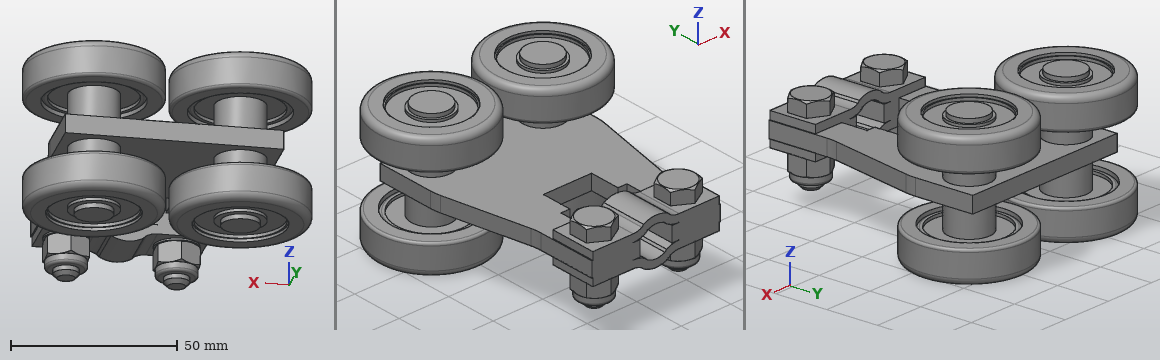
import cadquery as cq
import math


PLATE_THICKNESS = 6.0
PLATE_DEPTH = 86.7
FRONT_HALF_WIDTH = 25.9
REAR_HALF_WIDTH = 33.5
FRONT_BEND_Y = 24.95
REAR_BEND_Y = 62.1
BEND_RADIUS = 20.0
CLAMP_GAP_WIDTH = 12.9
WIDE_WINDOW_WIDTH = 26.6
WIDE_WINDOW_END_Y = 28.0
NARROW_WINDOW_WIDTH = 19.4
NARROW_WINDOW_END_Y = 39.9

TOTAL_DEPTH = 97.5
TOTAL_HEIGHT = 49.0
WHEEL_DIAMETER = 43.0
WHEEL_SPACING = 44.9
WHEEL_WIDTH = 12.0
OUTER_ROUND = 2.4
INNER_ROUND = 1.0
BORE_DIAMETER = 28.0
OUTER_RECESS_DIAMETER = 29.0
OUTER_RECESS_DEPTH = 1.0
BEARING_INSET = 2.0
INNER_RECESS_DIAMETER = 32.0
INNER_RECESS_DEPTH = 1.0
INSERT_ROUND = 1.0
INSERT_SEAT = 0.5
SLEEVE_DIAMETER = 16.0
WASHER_THICKNESS = 1.0
AXLE_HEAD_DIAMETER = 14.0
AXLE_TAIL_DIAMETER = 12.0
AXLE_PROTRUSION = 0.5

STRAP_THICKNESS = 3.0
STRAP_DEPTH = 17.9
STRAP_HALF_WIDTH = 25.5
ARCH_INNER_RADIUS = 7.0
FLARE_INNER_RADIUS = 7.0
ARCH_ANGLE = math.radians(30)
LINK_ANGLE = math.radians(45)

BOLT_SPACING = 33.9
ACROSS_FLATS = 13.0
BOLT_HEAD_HEIGHT = 5.3
BOLT_DIAMETER = 8.0
BOLT_TIP_Z = -19.0
BOLT_TIP_CHAMFER = 1.3
NUT_FLANGE_DIAMETER = 14.0
NUT_FLANGE_HEIGHT = 0.6
NUT_HEX_HEIGHT = 6.8
NUT_COLLAR_DIAMETER = 13.0
NUT_COLLAR_HEIGHT = 2.8
NUT_COLLAR_ROUND = 0.9
HEAD_FACE_DIAMETER = 12.5
NUT_FACE_DIAMETER = 12.9
HEX_BEVEL_SLOPE = math.tan(math.radians(30))

WHEEL_Y = TOTAL_DEPTH - WHEEL_DIAMETER / 2
AXLE_TOP_Z = TOTAL_HEIGHT / 2
WHEEL_OUTER_Z = AXLE_TOP_Z - AXLE_PROTRUSION
WHEEL_INNER_Z = WHEEL_OUTER_Z - WHEEL_WIDTH
WASHER_TOP_Z = WHEEL_OUTER_Z - BEARING_INSET + WASHER_THICKNESS
STRAP_INNER_Z = PLATE_THICKNESS / 2
STRAP_OUTER_Z = STRAP_INNER_Z + STRAP_THICKNESS
BOLT_Y = STRAP_DEPTH / 2


def cylinder(diameter, z_low, z_high):
    """Cylinder on the Z axis between two heights."""
    return cq.Workplane("XY").workplane(offset=z_low).circle(diameter / 2).extrude(z_high - z_low)


def window(width, y_start, y_end):
    """Centred rectangular cutter through the plate."""
    return cq.Workplane("XY").box(
        width, y_end - y_start, PLATE_THICKNESS, centered=(True, False, True)
    ).translate((0, y_start, 0))


def make_plate():
    right_side = [
        (FRONT_HALF_WIDTH, 0),
        (FRONT_HALF_WIDTH, FRONT_BEND_Y),
        (REAR_HALF_WIDTH, REAR_BEND_Y),
        (REAR_HALF_WIDTH, PLATE_DEPTH),
    ]
    left_side = [(-x, y) for x, y in reversed(right_side)]
    plate = (
        cq.Workplane("XY")
        .polyline(right_side + left_side)
        .close()
        .extrude(PLATE_THICKNESS / 2, both=True)
    )
    for bend_x, bend_y in ((FRONT_HALF_WIDTH, FRONT_BEND_Y), (REAR_HALF_WIDTH, REAR_BEND_Y)):
        for side in (-1, 1):
            corner = cq.selectors.NearestToPointSelector((side * bend_x, bend_y, 0))
            plate = plate.edges(corner).fillet(BEND_RADIUS)
    plate = plate.cut(window(CLAMP_GAP_WIDTH, 0, STRAP_DEPTH))
    plate = plate.cut(window(WIDE_WINDOW_WIDTH, STRAP_DEPTH, WIDE_WINDOW_END_Y))
    return plate.cut(window(NARROW_WINDOW_WIDTH, WIDE_WINDOW_END_Y, NARROW_WINDOW_END_Y))


def make_wheel():
    """Upper wheel on the Z axis, with its bearing filling the bore.

    A round-edged insert sits below the inner face and leaves a narrow notch around it.
    """
    wheel = cylinder(WHEEL_DIAMETER, WHEEL_INNER_Z, WHEEL_OUTER_Z)
    wheel = wheel.faces(">Z").edges().fillet(OUTER_ROUND)
    wheel = wheel.faces("<Z").edges().fillet(INNER_ROUND)
    outer_bore = cylinder(BORE_DIAMETER, WHEEL_OUTER_Z - BEARING_INSET, WHEEL_OUTER_Z)
    outer_recess = cylinder(OUTER_RECESS_DIAMETER, WHEEL_OUTER_Z - OUTER_RECESS_DEPTH, WHEEL_OUTER_Z)
    wheel = wheel.cut(outer_bore).cut(outer_recess)

    insert_face = WHEEL_INNER_Z + INNER_RECESS_DEPTH
    inner_recess = cylinder(INNER_RECESS_DIAMETER, WHEEL_INNER_Z, insert_face + INSERT_ROUND)
    insert = cylinder(INNER_RECESS_DIAMETER, insert_face, insert_face + INSERT_ROUND + INSERT_SEAT)
    insert = insert.faces("<Z").edges().fillet(INSERT_ROUND)
    inner_bore = cylinder(BORE_DIAMETER, WHEEL_INNER_Z, WHEEL_INNER_Z + BEARING_INSET)
    return wheel.cut(inner_recess).union(insert).cut(inner_bore)


def make_axle():
    """Sleeve through both bearings, capped by washers and axle ends."""
    sleeve = cylinder(SLEEVE_DIAMETER, -WASHER_TOP_Z, WASHER_TOP_Z)
    head = cylinder(AXLE_HEAD_DIAMETER, 0, AXLE_TOP_Z)
    tail = cylinder(AXLE_TAIL_DIAMETER, -AXLE_TOP_Z, 0)
    return sleeve.union(head).union(tail)


def make_wheel_pair():
    wheel = make_wheel()
    return make_axle().union(wheel).union(wheel.mirror("XY"))


def make_strap():
    """Upper strap: flat ends joined by a central arch.

    Short straight links, steeper than the arc ends, join the arch to its flared feet.
    The arch rises by one strap thickness.
    """
    arch_outer_radius = ARCH_INNER_RADIUS + STRAP_THICKNESS
    flare_outer_radius = FLARE_INNER_RADIUS + STRAP_THICKNESS
    radius_sum = arch_outer_radius + FLARE_INNER_RADIUS
    link_rise = STRAP_THICKNESS - radius_sum * (1 - math.cos(ARCH_ANGLE))
    link_run = link_rise / math.tan(LINK_ANGLE)
    arch_z = STRAP_OUTER_Z - ARCH_INNER_RADIUS
    flare_x = radius_sum * math.sin(ARCH_ANGLE) + link_run
    flare_z = STRAP_OUTER_Z + FLARE_INNER_RADIUS

    def on_arch(radius, angle):
        return (radius * math.sin(angle), arch_z + radius * math.cos(angle))

    def on_flare(side, radius, angle):
        return (side * (flare_x - radius * math.sin(angle)), flare_z - radius * math.cos(angle))

    def surface(sketch, arch_radius, flare_radius, side):
        """Trace one surface of the arch, from one flat end to the other."""
        return (
            sketch.lineTo(*on_flare(side, flare_radius, 0))
            .threePointArc(
                on_flare(side, flare_radius, ARCH_ANGLE / 2), on_flare(side, flare_radius, ARCH_ANGLE)
            )
            .lineTo(*on_arch(arch_radius, side * ARCH_ANGLE))
            .threePointArc(on_arch(arch_radius, 0), on_arch(arch_radius, -side * ARCH_ANGLE))
            .lineTo(*on_flare(-side, flare_radius, ARCH_ANGLE))
            .threePointArc(
                on_flare(-side, flare_radius, ARCH_ANGLE / 2), on_flare(-side, flare_radius, 0)
            )
        )

    profile = cq.Workplane("XZ").moveTo(-STRAP_HALF_WIDTH, STRAP_INNER_Z)
    profile = surface(profile, ARCH_INNER_RADIUS, flare_outer_radius, -1)
    profile = profile.lineTo(STRAP_HALF_WIDTH, STRAP_INNER_Z).lineTo(STRAP_HALF_WIDTH, STRAP_OUTER_Z)
    profile = surface(profile, arch_outer_radius, FLARE_INNER_RADIUS, 1)
    return profile.lineTo(-STRAP_HALF_WIDTH, STRAP_OUTER_Z).close().extrude(-STRAP_DEPTH)


def hexagon(z_low, z_high):
    """Hexagonal prism on the Z axis with corners along Y."""
    corner_diameter = ACROSS_FLATS / math.cos(math.radians(30))
    prism = cq.Workplane("XY").polygon(6, corner_diameter).extrude(z_high - z_low)
    return prism.rotate((0, 0, 0), (0, 0, 1), 90).translate((0, 0, z_low))


def bevel_cone(face_z, face_diameter, inward):
    """Cone that widens from an end face; inward is the Z direction into the hexagon."""
    face_radius = face_diameter / 2
    cone_height = NUT_HEX_HEIGHT + BOLT_HEAD_HEIGHT
    wide_radius = face_radius + cone_height / HEX_BEVEL_SLOPE
    cone = cq.Solid.makeCone(
        face_radius, wide_radius, cone_height, cq.Vector(0, 0, face_z), cq.Vector(0, 0, inward)
    )
    return cq.Workplane(cone)


def make_bolt():
    """Bolt with its lock nut, on the Z axis."""
    head_top = STRAP_OUTER_Z + BOLT_HEAD_HEIGHT
    head = hexagon(STRAP_OUTER_Z, head_top).intersect(bevel_cone(head_top, HEAD_FACE_DIAMETER, -1))

    shank = cylinder(BOLT_DIAMETER, BOLT_TIP_Z, STRAP_OUTER_Z)
    shank = shank.faces("<Z").chamfer(BOLT_TIP_CHAMFER)

    flange_low = -STRAP_OUTER_Z - NUT_FLANGE_HEIGHT
    hex_low = flange_low - NUT_HEX_HEIGHT
    collar_low = hex_low - NUT_COLLAR_HEIGHT
    flange = cylinder(NUT_FLANGE_DIAMETER, flange_low, -STRAP_OUTER_Z)
    nut = hexagon(hex_low, flange_low)
    nut = nut.intersect(bevel_cone(flange_low, NUT_FACE_DIAMETER, -1))
    nut = nut.intersect(bevel_cone(hex_low, NUT_FACE_DIAMETER, 1))
    collar = cylinder(NUT_COLLAR_DIAMETER, collar_low, hex_low).faces("<Z").edges().fillet(NUT_COLLAR_ROUND)
    return head.union(shank).union(flange).union(nut).union(collar)


strap = make_strap()
wheel_pair = make_wheel_pair()
bolt = make_bolt()

result = make_plate().union(strap).union(strap.mirror("XY"))
for side in (-1, 1):
    result = result.union(wheel_pair.translate((side * WHEEL_SPACING / 2, WHEEL_Y, 0)))
    result = result.union(bolt.translate((side * BOLT_SPACING / 2, BOLT_Y, 0)))